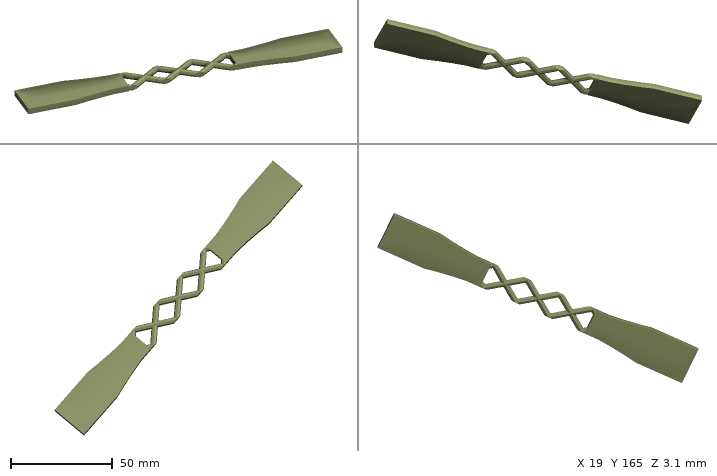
import cadquery as cq

length = 165.0
grip_width = 19.0
neck_width = 13.0
thickness = 3.1
grip_length = 25.0
shoulder_length = 21.5
shoulder_half_widths = (7.3, 8.2)
lattice_length = 57.0

cell_pitch = 17.8
crossing_count = 3
strut_sides = 8
strut_diameter = thickness


def solid_end():
    """Grip, flat-faceted shoulder and short neck at the +Y end."""
    shoulder_top = length / 2 - grip_length
    facet_length = shoulder_length / (len(shoulder_half_widths) + 1)
    right_side = [(neck_width / 2, lattice_length / 2)]
    right_side.append((neck_width / 2, shoulder_top - shoulder_length))
    for index, half_width in enumerate(shoulder_half_widths):
        right_side.append((half_width, shoulder_top - shoulder_length + (index + 1) * facet_length))
    right_side.append((grip_width / 2, shoulder_top))
    right_side.append((grip_width / 2, length / 2))
    left_side = [(-x, y) for x, y in reversed(right_side)]
    return (
        cq.Workplane("XY")
        .workplane(offset=-thickness / 2)
        .polyline(right_side + left_side)
        .close()
        .extrude(thickness)
    )


def diagonal_strut(center_y, direction):
    """Straight strut through (0, center_y), long enough to overrun the neck width."""
    axis = cq.Vector(direction * neck_width, cell_pitch, 0)
    middle = cq.Vector(0, center_y, 0)
    section = cq.Plane(origin=(middle - axis).toTuple(), xDir=(0, 0, 1), normal=axis.toTuple())
    return cq.Workplane(section).polygon(strut_sides, strut_diameter).extrude(2 * axis.Length)


def lattice():
    """Crossed struts trimmed to the neck width and to the open stretch."""
    trim = cq.Workplane("XY").box(neck_width, lattice_length, thickness)
    struts = cq.Workplane("XY")
    outermost = (crossing_count + 1) / 2
    for index in range(crossing_count + 2):
        center_y = (index - outermost) * cell_pitch
        for direction in (-1, 1):
            struts = struts.union(diagonal_strut(center_y, direction).intersect(trim))
    return struts


end = solid_end()
result = end.union(end.mirror("XZ")).union(lattice())